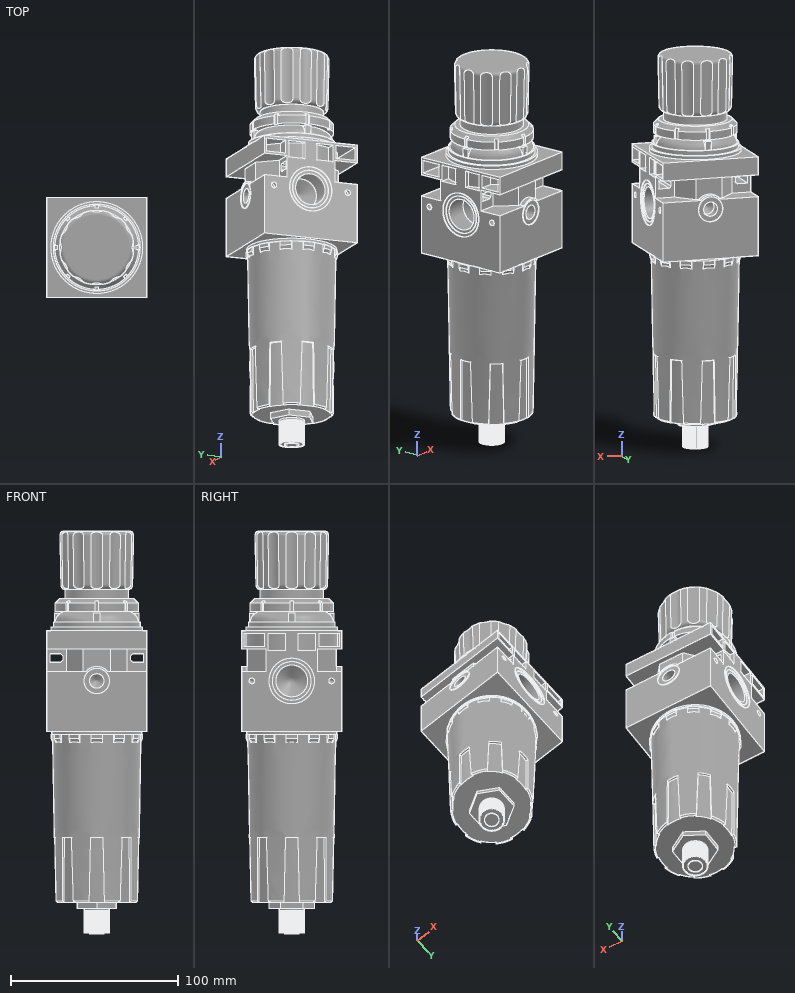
import cadquery as cq
import math

TOTAL_HEIGHT = 241.0
TIP_TOP = 0.5
KNURL_TOP = 15.2
BOWL_BOTTOM = 18.8
BOWL_TOP = 119.3
BLOCK_BOTTOM = 121.0
NECK_FLOOR = 157.1
PLATE_BOTTOM = 170.5
BLOCK_TOP = 181.5
FLANGE_TOP = 183.6
BONNET_RING_TOP = 186.5
DOME_TOP = 192.8
RING_TOP = 200.8
SKIRT_TOP = 206.0

KNOB_TOP_RADIUS = 22.5
KNOB_BOTTOM_RADIUS = 21.7
KNOB_FILLET = 3.0
KNOB_SKIRT_DIAMETER = 38.0
FLUTE_COUNT = 12
FLUTE_DEPTH = 1.2
FLUTE_RADIUS = 7.5

BLOCK_SIDE = 60.0
HALF_SIDE = BLOCK_SIDE / 2
ARM_HALF_WIDTH = 15.5
ARM_INNER_X = 18.0
COLUMN_HALF_WIDTH = 8.2
COLUMN_FACE_Y = 26.8
SLOT_CENTER_X = 24.0
SLOT_CENTER_Z = 165.0
SLOT_LENGTH = 7.7
SLOT_HEIGHT = 4.8
SLOT_CORNER = 1.2

POCKET_CORE_DIAMETER = 55.0
POCKET_TOP = 179.8
OUTER_POCKET_FLOOR = 171.8
OUTER_POCKET_INNER_Y = 16.5
OUTER_POCKET_OUTER_Y = 28.7
INNER_POCKET_FLOOR = 169.7
INNER_POCKET_INNER_Y = 3.9
INNER_POCKET_OUTER_Y = 14.2
POCKET_WEB_THICKNESS = 2.5
PORT_HEIGHT = 151.3
PORT_DIAMETER = 19.0
PORT_STEP_DIAMETER = 23.1
PORT_RECESS_DIAMETER = 27.2
PORT_RECESS_DEPTH = 0.5
PORT_DEPTH = 14.5
GAUGE_BOSS_DIAMETER = 17.4
GAUGE_RECESS_DIAMETER = 15.2
GAUGE_RECESS_DEPTH = 0.5
GAUGE_HOLE_DIAMETER = 8.7
GAUGE_HOLE_DEPTH = 7.2
PIN_HOLE_DIAMETER = 3.4
PIN_HOLE_Y = 23.9
PIN_HOLE_DEPTH = 3.5
DRILL_POINT_ANGLE = 118.0

FLANGE_DIAMETER = 55.0
BONNET_RING_DIAMETER = 52.0
DOME_BASE_RADIUS = 25.0
DOME_MIDDLE_RADIUS = 23.5
DOME_MIDDLE_HEIGHT = 190.1
DOME_TOP_RADIUS = 20.2
RING_RADIUS = 25.0
RING_CHAMFER = 3.0
RING_NOTCH_COUNT = 8
RING_NOTCH_WIDTH = 2.2
RING_NOTCH_DEPTH = 1.5
DOME_LUG_COUNT = 4
DOME_LUG_WIDTH = 3.9
DOME_LUG_RADIUS = 25.3
DOME_LUG_TOP = 191.8
COLLAR_DIAMETER = 54.0

BOWL_TOP_RADIUS = 26.5
BOWL_BOTTOM_RADIUS = 24.8
BOWL_CHAMFER = 1.0
BOWL_LUG_COUNT = 12
BOWL_LUG_WIDTH = 7.0
BOWL_LUG_RADIUS = 27.2
BOWL_LUG_FOOT_RADIUS = 26.3
BOWL_LUG_HEIGHT = 4.8
GRIP_COUNT = 8
GRIP_TOP = 57.8
GRIP_TOP_WIDTH = 7.5
GRIP_BOTTOM_WIDTH = 9.2
GRIP_DEPTH = 1.5

HEX_ACROSS_CORNERS = 27.2
KNURL_DIAMETER = 15.2
KNURL_COUNT = 40
KNURL_DEPTH = 0.5
KNURL_GROOVE_TOP = 14.0
TIP_DIAMETER = 8.7


def cylinder(diameter, bottom, top):
    """Upright cylinder on the Z axis."""
    return cq.Workplane("XY").workplane(offset=bottom).circle(diameter / 2).extrude(top - bottom)


def box(x_range, y_range, z_range):
    """Box between two limits along each axis."""
    lows, highs = zip(x_range, y_range, z_range)
    lengths = [high - low for low, high in zip(lows, highs)]
    return cq.Workplane("XY").box(*lengths, centered=False).translate(lows)


def around_z(shape, count):
    """Copies of a shape spaced evenly around the Z axis."""
    return [shape.rotate((0, 0, 0), (0, 0, 1), i * 360 / count) for i in range(count)]


def revolved(outline):
    """Close an XZ outline and turn it about the Z axis."""
    return outline.close().revolve(360, (0, 0, 0), (0, 1, 0))


def drilled_hole(diameter, depth):
    """Hole along +X from the origin, ending in a drill point."""
    radius = diameter / 2
    point = radius / math.tan(math.radians(DRILL_POINT_ANGLE / 2))
    outline = cq.Workplane("XY").polyline([(0, 0), (0, radius), (depth, radius), (depth + point, 0)])
    return outline.close().revolve(360, (0, 0, 0), (1, 0, 0))


def make_knob():
    grip = revolved(
        cq.Workplane("XZ").polyline(
            [
                (0, SKIRT_TOP),
                (KNOB_BOTTOM_RADIUS, SKIRT_TOP),
                (KNOB_TOP_RADIUS, TOTAL_HEIGHT),
                (0, TOTAL_HEIGHT),
            ]
        )
    )
    grip = grip.faces(">Z or <Z").edges().fillet(KNOB_FILLET)
    taper = math.degrees(math.atan((KNOB_TOP_RADIUS - KNOB_BOTTOM_RADIUS) / (TOTAL_HEIGHT - SKIRT_TOP)))
    flute_axis_x = KNOB_BOTTOM_RADIUS - FLUTE_DEPTH + FLUTE_RADIUS
    overrun = 4.8
    flute = cylinder(2 * FLUTE_RADIUS, SKIRT_TOP - overrun, TOTAL_HEIGHT + overrun)
    flute = flute.rotate((0, 0, SKIRT_TOP), (0, 1, SKIRT_TOP), taper).translate((flute_axis_x, 0, 0))
    for cutter in around_z(flute, FLUTE_COUNT):
        grip = grip.cut(cutter)
    return grip.union(cylinder(KNOB_SKIRT_DIAMETER, RING_TOP, SKIRT_TOP))


def make_waist():
    """Narrow section between block and plate: an arm along X crossed by a tapering column along Y."""
    corner = [
        (HALF_SIDE, ARM_HALF_WIDTH),
        (ARM_INNER_X, ARM_HALF_WIDTH),
        (COLUMN_HALF_WIDTH, COLUMN_FACE_Y),
    ]
    upper_half = corner + [(-x, y) for x, y in reversed(corner)]
    lower_half = [(-x, -y) for x, y in upper_half]
    waist = cq.Workplane("XY").workplane(offset=NECK_FLOOR).polyline(upper_half + lower_half).close()
    waist = waist.extrude(PLATE_BOTTOM - NECK_FLOOR)
    slot = cq.Workplane("XY").box(SLOT_LENGTH, BLOCK_SIDE, SLOT_HEIGHT)
    slot = slot.faces("<X").edges("|Y").chamfer(SLOT_CORNER)
    slot = slot.translate((SLOT_CENTER_X, 0, SLOT_CENTER_Z))
    return waist.cut(slot).cut(slot.mirror("YZ"))


def make_plate_pockets():
    """Rectangular pockets in both X ends of the plate, stopping at a round core."""
    x_range = (-HALF_SIDE, -POCKET_WEB_THICKNESS / 2)
    outer = box(x_range, (OUTER_POCKET_INNER_Y, OUTER_POCKET_OUTER_Y), (OUTER_POCKET_FLOOR, POCKET_TOP))
    inner = box(x_range, (INNER_POCKET_INNER_Y, INNER_POCKET_OUTER_Y), (INNER_POCKET_FLOOR, POCKET_TOP))
    pockets = outer.union(inner).cut(cylinder(POCKET_CORE_DIAMETER, NECK_FLOOR, BLOCK_TOP))
    pockets = pockets.union(pockets.mirror("XZ"))
    return pockets.union(pockets.mirror("YZ"))


def make_port():
    """Stepped port in the -X side."""
    port = drilled_hole(PORT_DIAMETER, PORT_DEPTH)
    for step, diameter in enumerate((PORT_STEP_DIAMETER, PORT_RECESS_DIAMETER)):
        depth = PORT_RECESS_DEPTH * (2 - step)
        port = port.union(cq.Workplane("YZ").circle(diameter / 2).extrude(depth))
    return port.translate((-HALF_SIDE, 0, PORT_HEIGHT))


def make_gauge_port():
    """Hole with a shallow spot face in the -Y side."""
    spot_face = cq.Workplane("YZ").circle(GAUGE_RECESS_DIAMETER / 2).extrude(GAUGE_RECESS_DEPTH)
    port = drilled_hole(GAUGE_HOLE_DIAMETER, GAUGE_HOLE_DEPTH).union(spot_face)
    return port.rotate((0, 0, 0), (0, 0, 1), 90).translate((0, -HALF_SIDE, PORT_HEIGHT))


def make_bonnet():
    """Flange, ring, rounded dome with lugs and notched ring stacked on the plate."""
    bonnet = cylinder(FLANGE_DIAMETER, BLOCK_TOP, FLANGE_TOP)
    bonnet = bonnet.union(cylinder(BONNET_RING_DIAMETER, FLANGE_TOP, BONNET_RING_TOP))
    dome = revolved(
        cq.Workplane("XZ")
        .moveTo(0, BONNET_RING_TOP)
        .lineTo(DOME_BASE_RADIUS, BONNET_RING_TOP)
        .threePointArc((DOME_MIDDLE_RADIUS, DOME_MIDDLE_HEIGHT), (DOME_TOP_RADIUS, DOME_TOP))
        .lineTo(0, DOME_TOP)
    )
    bonnet = bonnet.union(dome)
    half_lug = DOME_LUG_WIDTH / 2
    lug = box((0, DOME_LUG_RADIUS), (-half_lug, half_lug), (BONNET_RING_TOP, DOME_LUG_TOP))
    for copy in around_z(lug, DOME_LUG_COUNT):
        bonnet = bonnet.union(copy)
    ring = cylinder(2 * RING_RADIUS, DOME_TOP, RING_TOP).faces(">Z").chamfer(RING_CHAMFER)
    half_notch = RING_NOTCH_WIDTH / 2
    notch = box((RING_RADIUS - RING_NOTCH_DEPTH, BLOCK_SIDE), (-half_notch, half_notch), (DOME_TOP, RING_TOP))
    for copy in around_z(notch, RING_NOTCH_COUNT):
        ring = ring.cut(copy)
    return bonnet.union(ring)


def make_housing():
    full_side = (-HALF_SIDE, HALF_SIDE)
    housing = box(full_side, full_side, (BLOCK_BOTTOM, NECK_FLOOR))
    housing = housing.union(make_waist())
    housing = housing.union(box(full_side, full_side, (PLATE_BOTTOM, BLOCK_TOP)))
    gauge_bosses = cq.Workplane("XZ").circle(GAUGE_BOSS_DIAMETER / 2).extrude(HALF_SIDE, both=True)
    housing = housing.union(gauge_bosses.translate((0, 0, PORT_HEIGHT)))
    housing = housing.union(make_bonnet())
    housing = housing.union(cylinder(COLLAR_DIAMETER, BOWL_TOP, BLOCK_BOTTOM))

    pockets = make_plate_pockets()
    port = make_port()
    housing = housing.cut(pockets).cut(port).cut(port.mirror("YZ"))
    gauge_port = make_gauge_port()
    housing = housing.cut(gauge_port).cut(gauge_port.mirror("XZ"))
    pin_hole = drilled_hole(PIN_HOLE_DIAMETER, PIN_HOLE_DEPTH)
    for y in (-PIN_HOLE_Y, PIN_HOLE_Y):
        hole = pin_hole.translate((-HALF_SIDE, y, PORT_HEIGHT))
        housing = housing.cut(hole).cut(hole.mirror("YZ"))
    return housing


def bowl_cone(inset):
    """Tapered body of the bowl with its side moved inward."""
    return revolved(
        cq.Workplane("XZ").polyline(
            [
                (0, BOWL_BOTTOM),
                (BOWL_BOTTOM_RADIUS - inset, BOWL_BOTTOM),
                (BOWL_TOP_RADIUS - inset, BOWL_TOP),
                (0, BOWL_TOP),
            ]
        )
    )


def make_bowl():
    bowl = bowl_cone(0)
    bowl = bowl.faces("<Z").chamfer(BOWL_CHAMFER)
    lug = (
        cq.Workplane("XZ")
        .moveTo(0, BOWL_TOP)
        .lineTo(BOWL_LUG_RADIUS, BOWL_TOP)
        .lineTo(BOWL_LUG_RADIUS, BOWL_TOP - BOWL_LUG_HEIGHT / 2)
        .lineTo(BOWL_LUG_FOOT_RADIUS, BOWL_TOP - BOWL_LUG_HEIGHT)
        .lineTo(0, BOWL_TOP - BOWL_LUG_HEIGHT)
        .close()
        .extrude(BOWL_LUG_WIDTH / 2, both=True)
    )
    for copy in around_z(lug, BOWL_LUG_COUNT):
        bowl = bowl.union(copy)
    groove = (
        cq.Workplane("YZ")
        .polyline(
            [
                (-GRIP_BOTTOM_WIDTH / 2, BOWL_BOTTOM),
                (GRIP_BOTTOM_WIDTH / 2, BOWL_BOTTOM),
                (GRIP_TOP_WIDTH / 2, GRIP_TOP),
                (-GRIP_TOP_WIDTH / 2, GRIP_TOP),
            ]
        )
        .close()
        .extrude(BOWL_TOP_RADIUS)
        .cut(bowl_cone(GRIP_DEPTH))
    )
    for copy in around_z(groove, GRIP_COUNT):
        bowl = bowl.cut(copy)
    return bowl


def make_drain_screw():
    hexagon = cq.Workplane("XY").workplane(offset=KNURL_TOP).polygon(6, HEX_ACROSS_CORNERS)
    screw = hexagon.extrude(BOWL_BOTTOM - KNURL_TOP).rotate((0, 0, 0), (0, 0, 1), 90)
    knurl_radius = KNURL_DIAMETER / 2
    half_pitch = math.pi * knurl_radius / KNURL_COUNT
    grip = cylinder(KNURL_DIAMETER, TIP_TOP, KNURL_TOP)
    groove = (
        cq.Workplane("XY")
        .workplane(offset=TIP_TOP)
        .polyline(
            [
                (knurl_radius - KNURL_DEPTH, 0),
                (knurl_radius + KNURL_DEPTH, half_pitch),
                (knurl_radius + KNURL_DEPTH, -half_pitch),
            ]
        )
        .close()
        .extrude(KNURL_GROOVE_TOP - TIP_TOP)
    )
    for copy in around_z(groove, KNURL_COUNT):
        grip = grip.cut(copy)
    return screw.union(grip).union(cylinder(TIP_DIAMETER, 0, TIP_TOP))


knob = make_knob()
housing = make_housing()
bowl = make_bowl()
drain_screw = make_drain_screw()

bodies = [knob, housing, bowl, drain_screw]
result = cq.Compound.makeCompound([body.solids().val() for body in bodies])